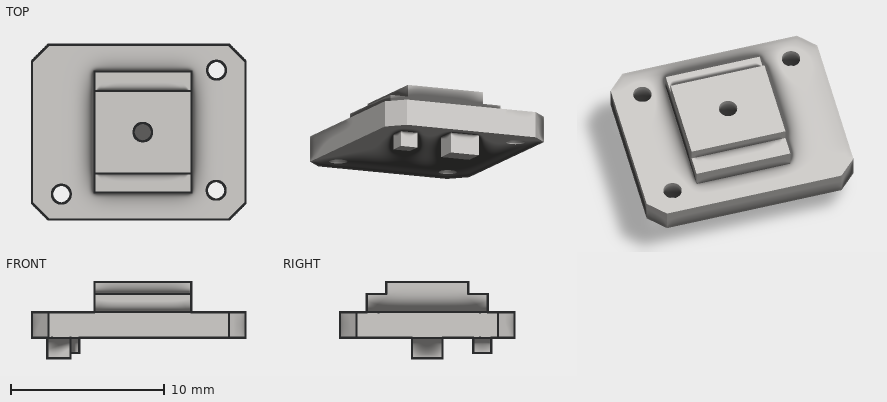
import cadquery as cq

board_length = 13.97
board_width = 11.43
board_thickness = 1.69
corner_chamfer = 1.09

block_center_x = 0.27
block_length = 6.34
block_width = 7.91
block_height = 1.97
ridge_width = 5.38
ridge_height = 0.78

hole_diameter = 1.2
mounting_holes = [(5.09, 4.05), (5.06, -3.8), (-5.06, -4.05)]
center_hole_depth = block_height

large_length = 1.54
large_width = 2.03
large_height = 1.33
large_left_inset = 0.99
small_size = 1.19
small_height = 0.99
small_right_x = -3.88
small_center_y = 3.59


def upright_box(length, width, height, center_x, center_y, bottom_z):
    """Box centred on (center_x, center_y) and standing on bottom_z."""
    box = cq.Workplane("XY").box(length, width, height, centered=(True, True, False))
    return box.translate((center_x, center_y, bottom_z))


def make_board():
    board = upright_box(board_length, board_width, board_thickness, 0, 0, 0)
    board = board.edges("|Z").chamfer(corner_chamfer)
    return board.faces(">Z").workplane().pushPoints(mounting_holes).hole(hole_diameter)


def make_stepped_block():
    shoulder_height = block_height - ridge_height
    block = upright_box(
        block_length, block_width, shoulder_height, block_center_x, 0, board_thickness
    )
    ridge = upright_box(
        block_length, ridge_width, block_height, block_center_x, 0, board_thickness
    )
    bore = cq.Workplane("XY").circle(hole_diameter / 2).extrude(center_hole_depth)
    bore_bottom_z = board_thickness + block_height - center_hole_depth
    return block.union(ridge).cut(bore.translate((block_center_x, 0, bore_bottom_z)))


def make_underside_components():
    large_center_x = -board_length / 2 + large_left_inset + large_length / 2
    large = upright_box(large_length, large_width, large_height, large_center_x, 0, -large_height)
    small_center_x = small_right_x - small_size / 2
    small = upright_box(
        small_size, small_size, small_height, small_center_x, small_center_y, -small_height
    )
    return large, small


large_component, small_component = make_underside_components()
result = make_board().union(make_stepped_block()).union(large_component).union(small_component)